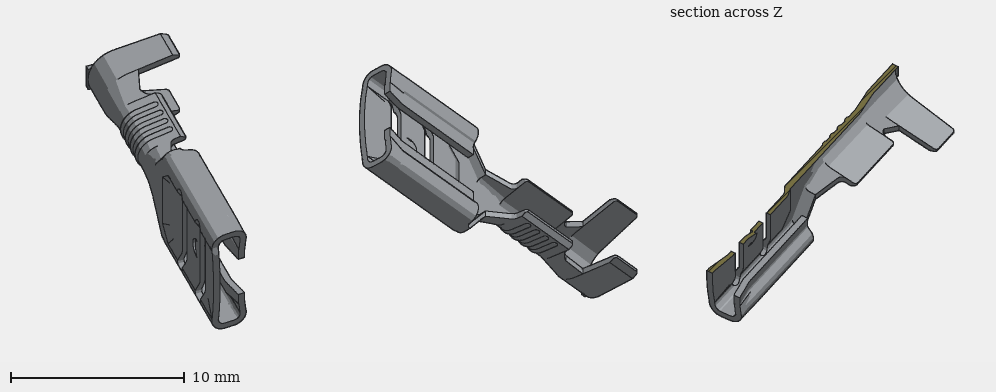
import cadquery as cq
import math


SHEET = 0.4
TOTAL_LENGTH = 19.3
BARREL_TILT = 10.5
TIP_LAND = 0.15
SIDE_LIMIT = 5.79

INSULATION_START = 0.27
INSULATION_END = 2.57
INSULATION_BASE = -0.23
INSULATION_RADIUS = 1.93
INSULATION_TOP = 4.6
INSULATION_BEVEL = 0.42
INSULATION_SLANT = 0.39
TAB_HALF_WIDTH = 0.8
TAB_OVERLAP = 0.04

DIP_START_Y = 1.99
DIP_LOW = (3.63, 1.66)
DIP_CURVE = (4.01, 1.9)
DIP_END_Y = 2.32

WIRE_START = 4.17
WIRE_END = 8.13
WIRE_RADIUS = 1.18
WIRE_TOP = 2.78
WIRE_BEVEL = 0.33
WING_CORNER = 0.2
RIDGE_COUNT = 4
RIDGE_FIRST = 5.02
RIDGE_PITCH = 0.75
RIDGE_WIDTH = 0.39
RIDGE_HEIGHT = 0.08
RIDGE_TOP = 2.1

NECK_X = 9.86
UNDERSIDE_TURN = 40.0
NECK_FLAT = 1.05
NECK_RADIUS = 0.75
NECK_EDGE_Y = 2.08
NECK_EDGE_CURVE = (8.22, 1.81)
NECK_EDGE_CURVE_END = (8.45, 1.66)
SHOULDER_X = 11.15
SHOULDER_FLAT = 2.78
SHOULDER_RADIUS = 0.77
FUNNEL_WALL_TOP = 1.14
SHOULDER_EDGE_CURVE = (11.46, 1.27)
SHOULDER_EDGE_Y = 1.58

BOX_START = 11.6
BOX_END = 19.03
BOX_TOP_END = 18.91
BOX_HEIGHT = 2.2
BOX_FLAT = 2.85
BOX_RADIUS = 0.83
ROLL_RADIUS = 0.8
ROLL_TURN = 135.0
LIP_SLOPE = 0.14
LIP_BEND_RADIUS = 0.7
LIP_FLAT = 0.62
FLARE_START = 17.56
MOUTH_ROLL_TURN = 94.0
MOUTH_LIP_SLOPE = 0.83

PANEL_START = 11.33
PANEL_DEPTH = 0.3
PANEL_RISE = 0.2
PANEL_HALF_WIDTH = 2.68
PANEL_CORNER = 0.85
PANEL_BANK = 0.64
STEEP_BANK = 0.45
STEEP_SHARE = 0.85

SLOTS = [(14.03, 0.73), (16.83, 0.81)]
SLOT_HALF_LENGTH = 3.1
SLOT_CUT_TOP = 0.96
CATCH_X = 15.9
CATCH_RADIUS = 0.64
CATCH_RISE = 0.15


def straight(length):
    return (length, 0.0, 0.0)


def bend(radius, angle):
    """A bend given by the radius of the sheet's middle; positive angles turn inwards."""
    return (0.0, radius, angle)


def trace(segments, base_y, offset):
    """Follow the sheet's middle line; give the start and (middle, end) points of one side.

    The line starts at Z = 0 and heads towards +Z. Points are (y, z), moved inwards by offset.
    """
    y, z, heading = base_y + SHEET / 2, 0.0, 0.0

    def inward(angle):
        return math.cos(math.radians(angle)), -math.sin(math.radians(angle))

    start = (y + offset, z)
    steps = []
    for length, radius, angle in segments:
        if length:
            in_y, in_z = inward(heading)
            y -= in_z * length
            z += in_y * length
            steps.append((None, (y + in_y * offset, z + in_z * offset)))
            continue
        signed_radius = math.copysign(radius, angle)
        in_y, in_z = inward(heading)
        centre_y = y + in_y * signed_radius
        centre_z = z + in_z * signed_radius
        reach = signed_radius - offset
        mid_y, mid_z = inward(heading + angle / 2)
        heading += angle
        end_y, end_z = inward(heading)
        y = centre_y - end_y * signed_radius
        z = centre_z - end_z * signed_radius
        middle = (centre_y - mid_y * reach, centre_z - mid_z * reach)
        steps.append((middle, (centre_y - end_y * reach, centre_z - end_z * reach)))
    return start, steps


def draw_steps(sketch, steps):
    for middle, end in steps:
        sketch = sketch.threePointArc(middle, end) if middle else sketch.lineTo(*end)
    return sketch


def wall_outline(x, segments, base_y=0.0, bevel=0.0):
    """Closed half section of the sheet in the plane at x, on the +Z side."""
    outer_segments = list(segments)
    if bevel:
        outer_segments[-1] = straight(segments[-1][0] - bevel)
    outer_start, outer = trace(outer_segments, base_y, -SHEET / 2)
    inner_start, inner = trace(segments, base_y, SHEET / 2)
    sketch = cq.Workplane("YZ", origin=(x, 0, 0)).moveTo(*outer_start)
    sketch = draw_steps(sketch, outer)
    if bevel:
        land = trace(segments, base_y, SHEET / 2 - TIP_LAND)[1]
        sketch = sketch.lineTo(*land[-1][1])
    sketch = sketch.lineTo(*inner[-1][1])
    ends = [inner_start] + [end for _, end in inner[:-1]]
    backward = [(step[0], end) for step, end in zip(reversed(inner), reversed(ends))]
    return draw_steps(sketch, backward).close()


def barrel_segments(radius, base_y, top_y):
    """Round underside and leaning wing that ends at the height top_y."""
    lean = math.radians(BARREL_TILT)
    wing_start = base_y + radius - (radius - SHEET) * math.sin(lean)
    wing = (top_y - wing_start) / math.cos(lean)
    return [bend(radius - SHEET / 2, 90 - BARREL_TILT), straight(wing)]


def pan_segments(flat, radius):
    """Flat floor, bend and upright side wall as high as the box."""
    return [straight(flat), bend(radius - SHEET / 2, 90), straight(BOX_HEIGHT - radius)]


def box_segments(roll_turn, lip_slope):
    """Floor, upright side, roll and a lip that slopes down and then runs level."""
    return [
        straight(BOX_FLAT),
        bend(BOX_RADIUS - SHEET / 2, 90),
        straight(BOX_HEIGHT - BOX_RADIUS - ROLL_RADIUS),
        bend(ROLL_RADIUS - SHEET / 2, roll_turn),
        straight(lip_slope),
        bend(LIP_BEND_RADIUS - SHEET / 2, 90 - roll_turn),
        straight(LIP_FLAT),
    ]


def loft(*sections):
    return cq.Workplane(cq.Solid.makeLoft([section.wire().val() for section in sections], True))


def side_body(points):
    """Body with the given outline in X and Y, reaching past the part on both Z sides."""
    return cq.Workplane("XY").polyline(points).close().extrude(SIDE_LIMIT, both=True)


def formed_sheet():
    """The folded sheet on the +Z side, before its edges are trimmed."""
    insulation = barrel_segments(INSULATION_RADIUS, INSULATION_BASE, INSULATION_TOP)
    wire = barrel_segments(WIRE_RADIUS, 0, WIRE_TOP)
    wire_bend_radius = WIRE_RADIUS - SHEET / 2
    wire_to_neck = [
        bend(wire_bend_radius, UNDERSIDE_TURN),
        bend(wire_bend_radius, 90 - BARREL_TILT - UNDERSIDE_TURN),
        wire[-1],
    ]
    neck = pan_segments(NECK_FLAT, NECK_RADIUS)
    shoulder = pan_segments(SHOULDER_FLAT, SHOULDER_RADIUS)
    box_side = pan_segments(BOX_FLAT, BOX_RADIUS)
    box = box_segments(ROLL_TURN, LIP_SLOPE)
    mouth = box_segments(MOUTH_ROLL_TURN, MOUTH_LIP_SLOPE)
    pieces = [
        wall_outline(0, insulation, INSULATION_BASE, INSULATION_BEVEL).extrude(INSULATION_END),
        loft(
            wall_outline(INSULATION_END, insulation, INSULATION_BASE),
            wall_outline(WIRE_START, wire),
        ),
        wall_outline(WIRE_START, wire, 0, WIRE_BEVEL).extrude(WIRE_END - WIRE_START),
        loft(wall_outline(WIRE_END, wire_to_neck), wall_outline(NECK_X, neck)),
        loft(wall_outline(NECK_X, neck), wall_outline(SHOULDER_X, shoulder)),
        loft(wall_outline(SHOULDER_X, shoulder), wall_outline(BOX_START, box_side)),
        wall_outline(BOX_START, box).extrude(FLARE_START - BOX_START),
        loft(wall_outline(FLARE_START, box), wall_outline(TOTAL_LENGTH, mouth)),
    ]
    body = pieces[0]
    for piece in pieces[1:]:
        body = body.union(piece)
    return body


def side_profile():
    """Body bounded by the edges of the sheet as they run in X and Y."""
    base = INSULATION_BASE - SHEET
    slant_x = INSULATION_START + INSULATION_SLANT
    return (
        cq.Workplane("XY")
        .moveTo(INSULATION_START, base)
        .lineTo(INSULATION_START, INSULATION_BASE)
        .lineTo(slant_x, INSULATION_TOP - WING_CORNER)
        .tangentArcPoint((slant_x + WING_CORNER, INSULATION_TOP), relative=False)
        .lineTo(INSULATION_END - WING_CORNER, INSULATION_TOP)
        .tangentArcPoint((INSULATION_END, INSULATION_TOP - WING_CORNER), relative=False)
        .lineTo(INSULATION_END, DIP_START_Y)
        .lineTo(*DIP_LOW)
        .threePointArc(DIP_CURVE, (WIRE_START, DIP_END_Y))
        .lineTo(WIRE_START, WIRE_TOP - WING_CORNER)
        .tangentArcPoint((WIRE_START + WING_CORNER, WIRE_TOP), relative=False)
        .lineTo(WIRE_END - WING_CORNER, WIRE_TOP)
        .tangentArcPoint((WIRE_END, WIRE_TOP - WING_CORNER), relative=False)
        .lineTo(WIRE_END, NECK_EDGE_Y)
        .threePointArc(NECK_EDGE_CURVE, NECK_EDGE_CURVE_END)
        .lineTo(NECK_X, FUNNEL_WALL_TOP)
        .lineTo(SHOULDER_X, FUNNEL_WALL_TOP)
        .threePointArc(SHOULDER_EDGE_CURVE, (BOX_START, SHOULDER_EDGE_Y))
        .lineTo(BOX_START, BOX_HEIGHT)
        .lineTo(BOX_TOP_END, BOX_HEIGHT)
        .lineTo(BOX_END, SHEET)
        .lineTo(TOTAL_LENGTH, SHEET)
        .lineTo(TOTAL_LENGTH, base)
        .close()
        .extrude(SIDE_LIMIT, both=True)
    )


def floor_end():
    """Body whose end is bowed in X and Z, rounding the mating end of the box floor."""
    return (
        cq.Workplane("XZ")
        .moveTo(0, -SIDE_LIMIT)
        .lineTo(BOX_END, -SIDE_LIMIT)
        .lineTo(BOX_END, -BOX_FLAT)
        .threePointArc((TOTAL_LENGTH, 0), (BOX_END, BOX_FLAT))
        .lineTo(BOX_END, SIDE_LIMIT)
        .lineTo(0, SIDE_LIMIT)
        .close()
        .extrude(SIDE_LIMIT, both=True)
    )


def ridges():
    """Raised half-round ribs around the outside of the wire barrel, on the +Z side."""
    start, steps = trace(barrel_segments(WIRE_RADIUS, 0, RIDGE_TOP), 0, -SHEET / 2)
    end_y, end_z = steps[-1][1]
    lean = math.radians(BARREL_TILT)
    body = None
    for index in range(RIDGE_COUNT):
        x = RIDGE_FIRST + index * RIDGE_PITCH
        path = draw_steps(cq.Workplane("YZ", origin=(x, 0, 0)).moveTo(*start), steps).wire()
        rib = cq.Workplane("XY", origin=(x, 0, 0)).ellipse(RIDGE_WIDTH / 2, RIDGE_HEIGHT).sweep(path)
        wall_plane = cq.Plane((x, end_y, end_z), (1, 0, 0), (0, math.cos(lean), math.sin(lean)))
        rounded_end = (
            cq.Workplane(wall_plane)
            .moveTo(0, -RIDGE_HEIGHT)
            .ellipseArc(RIDGE_WIDTH / 2, RIDGE_HEIGHT, -90, 90, startAtCurrent=True)
            .close()
            .revolve(360, (0, 0), (0, 1))
        )
        rib = rib.union(rounded_end)
        body = rib if body is None else body.union(rib)
    return body


def mirrored(half):
    return half.union(half.mirror("XY"))


def panel(bottom, height):
    """Panel with sloped borders and clipped corners, flattening out towards the mating end."""

    def outline(inset):
        start = PANEL_START + inset
        side = PANEL_HALF_WIDTH - inset
        corner = PANEL_CORNER - inset * (2 - math.sqrt(2))
        return [
            (TOTAL_LENGTH, -side), (start + corner, -side), (start, corner - side),
            (start, side - corner), (start + corner, side), (TOTAL_LENGTH, side),
        ]

    top = bottom + height
    levels = [(bottom, 0), (bottom + STEEP_SHARE * height, STEEP_BANK), (top, PANEL_BANK)]
    sections = [
        cq.Workplane("XZ", origin=(0, y, 0)).polyline(outline(inset)).close()
        for y, inset in levels
    ]
    flare = side_body([
        (PANEL_START, bottom), (PANEL_START, top), (FLARE_START, top), (BOX_END, bottom),
    ])
    return loft(*sections).intersect(flare)


def catch(bottom):
    """Half-round wedge that rises towards the wire end."""
    back = CATCH_X - CATCH_RADIUS
    ramp = side_body([(CATCH_X, bottom), (back, bottom), (back, bottom + CATCH_RISE)])
    disc = cq.Workplane("XZ").center(CATCH_X, 0).circle(CATCH_RADIUS).extrude(-BOX_HEIGHT)
    return disc.intersect(ramp)


def slot(x, width):
    return (
        cq.Workplane("XZ", origin=(x, 0, 0))
        .slot2D(2 * SLOT_HALF_LENGTH, width, 90)
        .extrude(-SLOT_CUT_TOP)
    )


result = mirrored(formed_sheet().union(ridges()))
result = result.intersect(side_profile()).intersect(floor_end())

carrier_tab = cq.Workplane("XY").box(
    INSULATION_START + TAB_OVERLAP, SHEET, 2 * TAB_HALF_WIDTH, centered=(False, False, True)
)
result = result.union(carrier_tab.translate((0, INSULATION_BASE, 0)))

panel_inside = SHEET + PANEL_RISE
result = result.union(panel(SHEET, PANEL_RISE)).union(catch(panel_inside))
result = result.cut(panel(0, PANEL_DEPTH)).cut(catch(PANEL_DEPTH))

for slot_x, slot_width in SLOTS:
    result = result.cut(slot(slot_x, slot_width))